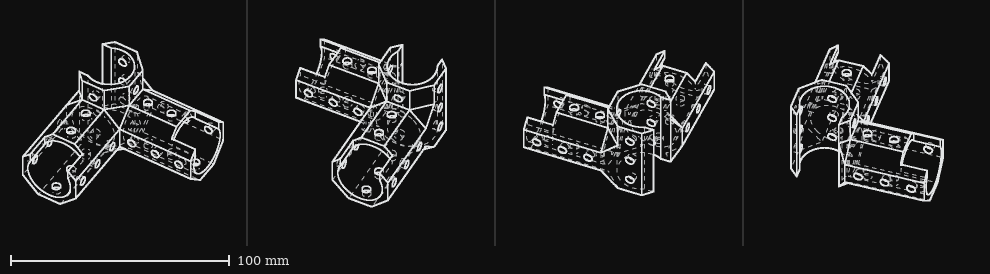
import cadquery as cq
import math

overall_length = 66.7
overall_height = 41.3
holes_per_socket = 3
bore_diameter = 22.9
hole_diameter = 4.0

hole_pitch = (overall_length - overall_height) / (holes_per_socket - 1)
arm_length = holes_per_socket * hole_pitch
body_width = overall_length - arm_length
half_width = body_width / 2
octagon_half_angle = 180 / 8
half_flat = half_width * math.tan(math.radians(octagon_half_angle))
octagon_diameter = body_width / math.cos(math.radians(octagon_half_angle))
mouth_width = half_width + half_flat
clamp_center_z = hole_pitch / 2
drill_length = 2 * overall_length


def octagonal_bar(length):
    """Regular octagonal bar along +Z, with flats square to X and Y."""
    bar = cq.Workplane("XY").polygon(8, octagon_diameter).extrude(length)
    return bar.rotate((0, 0, 0), (0, 0, 1), octagon_half_angle)


def cross_drills(first_height):
    """Row of through drills along X and along Y, one pair per hole pitch in Z."""
    drills = cq.Workplane("XY")
    radius = hole_diameter / 2
    for index in range(holes_per_socket):
        height = first_height + index * hole_pitch
        for direction in ((1, 0, 0), (0, 1, 0)):
            start = cq.Vector(0, 0, height) - cq.Vector(*direction) * (drill_length / 2)
            drills = drills.add(cq.Solid.makeCylinder(radius, drill_length, start, cq.Vector(*direction)))
    return drills.combine()


def corner_block():
    """Cube with trimmed corners that joins the clamp to both arms, opened on the diagonal at -X, +Y."""
    outline = [
        (0, 0),
        (-half_width, -half_width),
        (half_width, -half_width),
        (half_width, half_width),
        (0, half_width),
    ]
    block = cq.Workplane("XY").workplane(offset=-half_width).polyline(outline).close().extrude(body_width)

    octahedron_reach = body_width + half_flat
    face_taper = math.degrees(math.atan(1 / math.sqrt(2)))
    diamond = cq.Workplane("XY").polygon(4, 2 * octahedron_reach)
    upper_half = diamond.extrude(half_width, taper=face_taper)
    lower_half = upper_half.mirror("XY")
    return block.intersect(upper_half.union(lower_half))


def clamp_void():
    """Through bore of the vertical clamp, with its mouth toward -X and its cross holes."""
    bore = cq.Workplane("XY").circle(bore_diameter / 2).extrude(overall_height)
    mouth = cq.Workplane("XY").box(body_width, mouth_width, overall_height, centered=(False, True, False))
    void = bore.union(mouth.translate((-body_width, 0, 0))).translate((0, 0, -half_width))
    first_hole = clamp_center_z - (holes_per_socket - 1) / 2 * hole_pitch
    return void.union(cross_drills(first_hole))


def socket_arm():
    """Arm along +Z from its root: blind bore, cross holes and a mouth toward +Y over the last pitch."""
    bore = cq.Workplane("XY").circle(bore_diameter / 2).extrude(arm_length)
    mouth = (
        cq.Workplane("XY")
        .workplane(offset=arm_length - hole_pitch)
        .box(mouth_width, body_width, hole_pitch, centered=(True, False, False))
    )
    return octagonal_bar(arm_length).cut(bore).cut(mouth).cut(cross_drills(hole_pitch / 2))


body = octagonal_bar(overall_height).translate((0, 0, -half_width)).union(corner_block())
body = body.cut(clamp_void())

arm_front = socket_arm().rotate((0, 0, 0), (1, 0, 0), 90).translate((0, -half_width, 0))
arm_side = arm_front.rotate((0, 0, 0), (0, 0, 1), 90)

result = body.union(arm_front).union(arm_side)